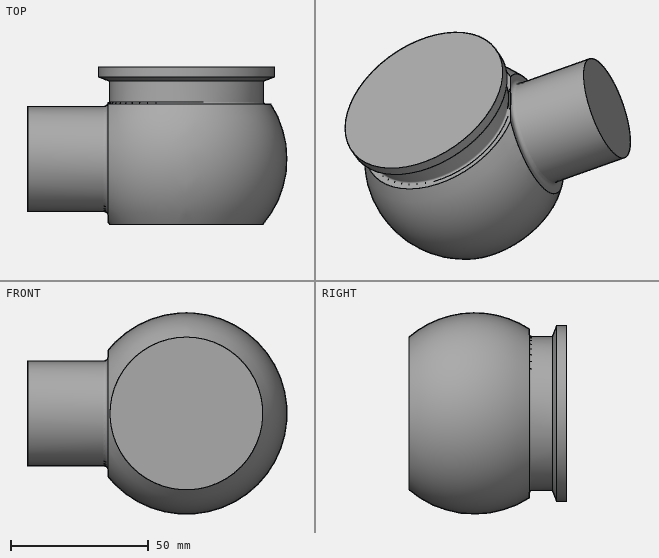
import cadquery as cq
import math

ball_radius = 36.5
front_face_y = -23.8
back_face_y = 19.9
pipe_face_x = -28.4

pipe_radius = 38.1 / 2
pipe_end_x = -57.53
pipe_fillet = 1.5

flange_face_y = 33.35
flange_radius = 63.9 / 2
flange_rim_width = 3.6
flange_taper_width = 1.55
neck_radius = 55.9 / 2
neck_fillet = 0.7

overlap = 1.0


def ball_section_radius(distance):
    """Radius of the circle cut from the ball by a plane at this distance from its centre."""
    return math.sqrt(ball_radius**2 - distance**2)


def make_body():
    """Ball revolved about Y between its flat front and back, then cut flat for the pipe."""
    ball = (
        cq.Workplane("YZ")
        .moveTo(front_face_y, 0)
        .lineTo(front_face_y, ball_section_radius(front_face_y))
        .threePointArc((0, ball_radius), (back_face_y, ball_section_radius(back_face_y)))
        .lineTo(back_face_y, 0)
        .close()
        .revolve(360, (0, 0), (1, 0))
    )
    ball_diameter = 2 * ball_radius
    beyond_pipe_face = (
        cq.Workplane("YZ", origin=(pipe_face_x, 0, 0))
        .rect(ball_diameter, ball_diameter)
        .extrude(-ball_radius)
    )
    return ball.cut(beyond_pipe_face)


def make_pipe():
    """Round stub revolved about X, flaring into the flat pipe face with a base fillet."""
    root_radius = pipe_radius + pipe_fillet
    inner_x = pipe_face_x + overlap
    return (
        cq.Workplane("XZ")
        .moveTo(pipe_end_x, 0)
        .lineTo(pipe_end_x, pipe_radius)
        .lineTo(pipe_face_x - pipe_fillet, pipe_radius)
        .tangentArcPoint((pipe_face_x, root_radius), relative=False)
        .lineTo(inner_x, root_radius)
        .lineTo(inner_x, 0)
        .close()
        .revolve(360, (0, 0), (1, 0))
    )


def make_neck_and_flange():
    """Tapered clamp flange and filleted neck, revolved about Y."""
    root_radius = neck_radius + neck_fillet
    inner_y = back_face_y - overlap
    rim_edge_y = flange_face_y - flange_rim_width
    taper_edge_y = rim_edge_y - flange_taper_width
    return (
        cq.Workplane("XY")
        .moveTo(0, flange_face_y)
        .lineTo(flange_radius, flange_face_y)
        .lineTo(flange_radius, rim_edge_y)
        .lineTo(neck_radius, taper_edge_y)
        .lineTo(neck_radius, back_face_y + neck_fillet)
        .tangentArcPoint((root_radius, back_face_y), relative=False)
        .lineTo(neck_radius, inner_y)
        .lineTo(0, inner_y)
        .close()
        .revolve(360, (0, 0), (0, 1))
    )


result = make_body().union(make_pipe()).union(make_neck_and_flange())